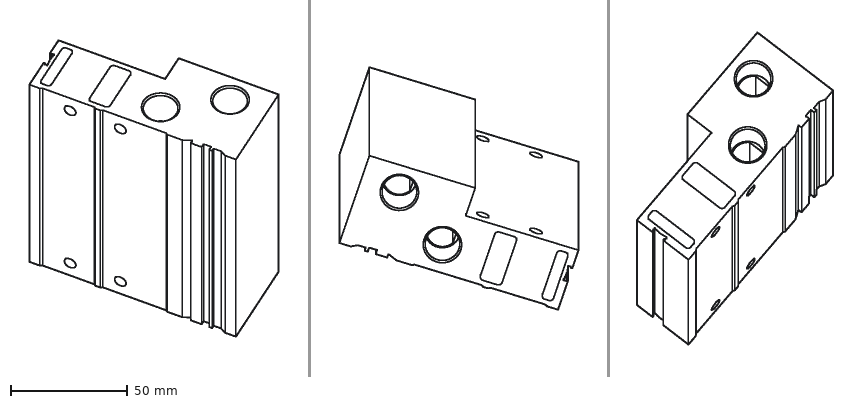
import cadquery as cq

WIDTH = 99.0
DEPTH = 42.0
LENGTH = 114.0
LOW_DEPTH = 28.6
STEP_X = 51.1

GROOVE_CENTER_Y = 17.0
GROOVE_MOUTH = 5.8
GROOVE_INNER_WIDTH = 6.8
GROOVE_LIP = 0.8
GROOVE_DEPTH = 2.0
GROOVE_CROWN_DEPTH = 1.6

RELIEF_DEPTH = 0.6
FOOT_WIDTH = 4.9
FOOT_RAMP = 1.3
RIB_LEFT = 30.8
RIB_RIGHT = 34.9
RIB_RAMP = 0.9
RELIEF_END = 65.2
RELIEF_END_RAMP = 0.8

NOTCH_LEFT = 73.2
NOTCH_RIGHT = 77.3
NOTCH_DEPTH = 1.7
KEYWAY_LEFT = 82.5
KEYWAY_RIGHT = 86.1
KEYWAY_DEPTH = 1.9
RECESS_LEFT = 87.5
RECESS_FLOOR_RIGHT = 91.1
RECESS_RIGHT = 93.8
RECESS_DEPTH = 1.5

SLOTS = [(3.5, 8.5), (26.8, 36.6)]
SLOT_FRONT_Y = 2.8
SLOT_BACK_Y = 26.0
SLOT_CORNER_RADIUS = 1.6

PORT_CENTERS = [(56.5, 13.0), (81.5, 30.0)]
PORT_DIAMETER = 13.9
PORT_FLAT_WIDTH = 11.9
MOUTH_DIAMETER = 14.9
MOUTH_DEPTH = 17.1
MOUTH_CHAMFER = 0.8

SCREW_DIAMETER = 5.5
SCREW_XS = [19.3, 43.3]
SCREW_END_DISTANCE = 8.0


def body():
    mouth_front = GROOVE_CENTER_Y - GROOVE_MOUTH / 2
    mouth_back = GROOVE_CENTER_Y + GROOVE_MOUTH / 2
    inner_front = GROOVE_CENTER_Y - GROOVE_INNER_WIDTH / 2
    inner_back = GROOVE_CENTER_Y + GROOVE_INNER_WIDTH / 2
    mounting_face = [
        (0, 0),
        (FOOT_WIDTH, 0),
        (FOOT_WIDTH + FOOT_RAMP, RELIEF_DEPTH),
        (RIB_LEFT, RELIEF_DEPTH),
        (RIB_LEFT + RIB_RAMP, 0),
        (RIB_RIGHT - RIB_RAMP, 0),
        (RIB_RIGHT, RELIEF_DEPTH),
        (RELIEF_END, RELIEF_DEPTH),
        (RELIEF_END + RELIEF_END_RAMP, 0),
        (NOTCH_LEFT, 0),
        (NOTCH_RIGHT, NOTCH_DEPTH),
        (NOTCH_RIGHT, 0),
        (KEYWAY_LEFT, 0),
        (KEYWAY_LEFT, KEYWAY_DEPTH),
        (KEYWAY_RIGHT, KEYWAY_DEPTH),
        (KEYWAY_RIGHT, 0),
        (RECESS_LEFT, 0),
        (RECESS_LEFT, RECESS_DEPTH),
        (RECESS_FLOOR_RIGHT, RECESS_DEPTH),
        (RECESS_RIGHT, 0),
        (WIDTH, 0),
    ]
    back = [
        (WIDTH, DEPTH),
        (STEP_X, DEPTH),
        (STEP_X, LOW_DEPTH),
        (0, LOW_DEPTH),
    ]
    side_groove = [
        (0, mouth_back),
        (GROOVE_LIP, mouth_back),
        (GROOVE_LIP, inner_back),
        (GROOVE_DEPTH, inner_back),
        (GROOVE_CROWN_DEPTH, GROOVE_CENTER_Y),
        (GROOVE_DEPTH, inner_front),
        (GROOVE_LIP, inner_front),
        (GROOVE_LIP, mouth_front),
        (0, mouth_front),
    ]
    return cq.Workplane("XY").polyline(mounting_face + back + side_groove).close().extrude(LENGTH)


def slot(left, right):
    center = ((left + right) / 2, (SLOT_FRONT_Y + SLOT_BACK_Y) / 2)
    return (
        cq.Workplane("XY")
        .center(*center)
        .rect(right - left, SLOT_BACK_Y - SLOT_FRONT_Y)
        .extrude(LENGTH)
        .edges("|Z")
        .fillet(SLOT_CORNER_RADIUS)
    )


def port(center):
    flats = cq.Workplane("XY").rect(PORT_FLAT_WIDTH, PORT_DIAMETER).extrude(LENGTH)
    bore = cq.Workplane("XY").circle(PORT_DIAMETER / 2).extrude(LENGTH).intersect(flats)
    radius = MOUTH_DIAMETER / 2
    lower_mouth = (
        cq.Workplane("XZ")
        .polyline([
            (0, 0),
            (radius + MOUTH_CHAMFER, 0),
            (radius, MOUTH_CHAMFER),
            (radius, MOUTH_DEPTH),
            (0, MOUTH_DEPTH),
        ])
        .close()
        .revolve(360, (0, 0), (0, 1))
    )
    upper_mouth = lower_mouth.mirror("XY", (0, 0, LENGTH / 2))
    return bore.union(lower_mouth).union(upper_mouth).translate((*center, 0))


def screw_holes():
    centers = [
        (x, z)
        for x in SCREW_XS
        for z in (SCREW_END_DISTANCE, LENGTH - SCREW_END_DISTANCE)
    ]
    return cq.Workplane("XZ").pushPoints(centers).circle(SCREW_DIAMETER / 2).extrude(-LOW_DEPTH)


result = body().cut(screw_holes())
for left, right in SLOTS:
    result = result.cut(slot(left, right))
for center in PORT_CENTERS:
    result = result.cut(port(center))